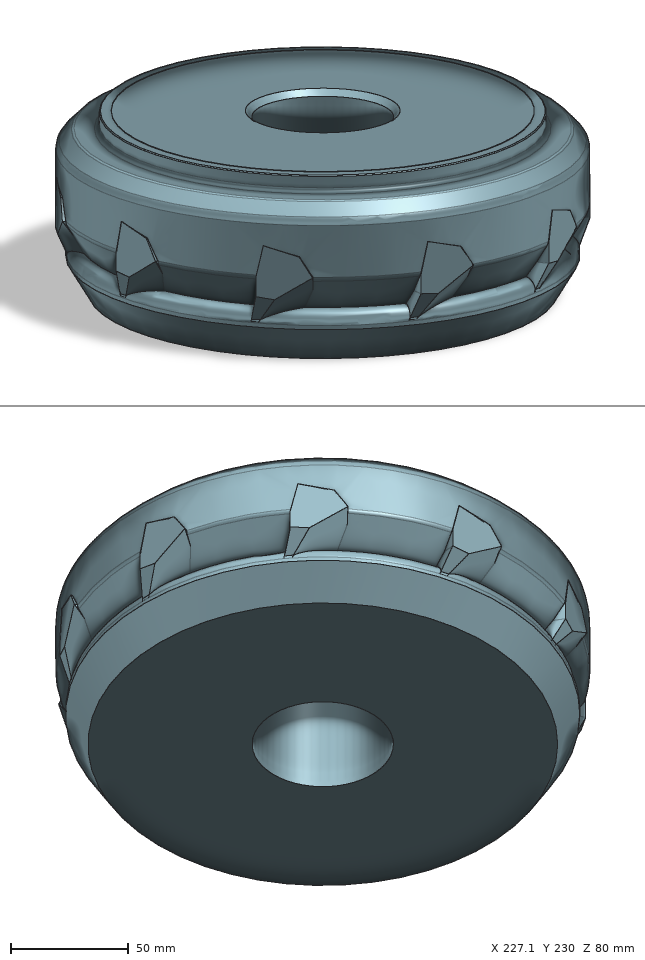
import cadquery as cq
import math

total_height = 80.0

head_dia = 227.1
head_bottom_z = 18.0
head_bore_dia = 60.3
bore_mouth_chamfer = 2.8
shoulder_z = 72.3
shoulder_chamfer = 7.1
shoulder_inner_round = 1.5
shoulder_outer_round = 4.8
boss_dia = 190.0
boss_foot_round = 2.0
boss_rim_chamfer = 0.5
raised_face_dia = 180.0
raised_face_height = 0.2
cone_top_z = 39.1
cone_half_angle = 31.0
cone_edge_round = 3.7

tooth_count = 10
tooth_root_radius = 92.0
tooth_outer_radius = 124.3
face_top = (-19.3, 53.5)
face_shoulder = (-4.0, 49.2)
face_tip = (1.8, 40.3)
face_low_right = (-14.5, 29.7)
face_low_left = (-22.5, 30.5)
face_left_mid = (-22.5, 39.1)
face_radius_at_tip = 115.0
face_slope = 0.14
flank_foot = (-0.7, -104.5, 24.6)
front_foot = (-24.9, -106.0, 18.5)

base_bottom_dia = 199.7
base_bore_dia = 60.0
base_dia = 218.5
base_cone_height = 15.6
base_round = 7.0
base_rim_z = 24.5
hub_dia = 100.0
hub_top_z = 55.2

cutter_size = 460.2
match_tolerance = 0.12


def bore(diameter):
    return cq.Workplane("XY").circle(diameter / 2).extrude(total_height)


def face_point(spot):
    """Place an (x, z) spot on the sloping outer face of the tooth."""
    x, z = spot
    y = -(face_radius_at_tip + face_slope * (x - face_tip[0]))
    return cq.Vector(x, y, z)


def cut_outside(body, first, second, third):
    """Cut away what lies beyond a plane, on its side away from the axis."""
    normal = (second - first).cross(third - first).normalized()
    if normal.y > 0:
        normal = normal * -1
    plane = cq.Plane(origin=first.toTuple(), normal=normal.toTuple())
    return body.cut(cq.Workplane(plane).rect(cutter_size, cutter_size).extrude(cutter_size))


def make_tooth():
    """One tooth pointing along -Y, with its root buried in the head."""
    outline = [
        face_top,
        face_shoulder,
        face_tip,
        (face_tip[0], head_bottom_z),
        (front_foot[0], head_bottom_z),
        face_low_left,
        face_left_mid,
    ]
    tooth = (
        cq.Workplane("XZ", origin=(0, -tooth_root_radius, 0))
        .polyline(outline)
        .close()
        .extrude(tooth_outer_radius - tooth_root_radius)
    )
    tip = face_point(face_tip)
    low_right = face_point(face_low_right)
    low_left = face_point(face_low_left)
    tooth = cut_outside(tooth, face_point(face_top), tip, low_right)
    tooth = cut_outside(tooth, tip, low_right, cq.Vector(*flank_foot))
    return cut_outside(tooth, low_right, low_left, cq.Vector(*front_foot))


def make_head_blank():
    """Round body of the head, before teeth and bore."""
    head_radius = head_dia / 2
    boss_radius = boss_dia / 2
    face_z = total_height - raised_face_height
    cone_drop = cone_top_z - head_bottom_z
    bottom_radius = head_radius - cone_drop * math.tan(math.radians(cone_half_angle))
    profile = [
        (0, head_bottom_z),
        (bottom_radius, head_bottom_z),
        (head_radius, cone_top_z),
        (head_radius, shoulder_z - shoulder_chamfer),
        (head_radius - shoulder_chamfer, shoulder_z),
        (boss_radius, shoulder_z),
        (boss_radius, face_z - boss_rim_chamfer),
        (boss_radius - boss_rim_chamfer, face_z),
        (raised_face_dia / 2, face_z),
        (raised_face_dia / 2, total_height),
        (0, total_height),
    ]
    blank = cq.Workplane("XZ").polyline(profile).close().revolve(360, (0, 0), (0, 1))

    def rounded(body, radius, z, round_radius):
        rings = [
            edge
            for edge in body.edges("%CIRCLE").vals()
            if abs(edge.radius() - radius) < match_tolerance
            and abs(edge.Center().z - z) < match_tolerance
        ]
        return body.newObject(rings).fillet(round_radius)

    blank = rounded(blank, head_radius, cone_top_z, cone_edge_round)
    blank = rounded(blank, head_radius, shoulder_z - shoulder_chamfer, shoulder_outer_round)
    blank = rounded(blank, head_radius - shoulder_chamfer, shoulder_z, shoulder_inner_round)
    return rounded(blank, boss_radius, shoulder_z, boss_foot_round)


def make_bore_mouth():
    """Conical cutter that chamfers the top end of the bore."""
    bore_radius = head_bore_dia / 2
    mouth_bottom_z = total_height - bore_mouth_chamfer
    return (
        cq.Workplane("XY", origin=(0, 0, mouth_bottom_z))
        .circle(bore_radius)
        .workplane(offset=bore_mouth_chamfer)
        .circle(bore_radius + bore_mouth_chamfer)
        .loft()
    )


def make_head():
    head = make_head_blank()
    tooth = make_tooth()
    for index in range(tooth_count):
        angle = index * 360 / tooth_count
        head = head.union(tooth.rotate((0, 0, 0), (0, 0, 1), angle))
    hub_socket = cq.Workplane("XY").circle(hub_dia / 2).extrude(hub_top_z)
    return head.cut(hub_socket).cut(bore(head_bore_dia)).cut(make_bore_mouth()).solids()


def make_base(head):
    """Base ring and hub, recessed where the head and its teeth sit."""
    base_radius = base_dia / 2
    profile = (
        cq.Workplane("XZ")
        .moveTo(0, 0)
        .lineTo(base_bottom_dia / 2, 0)
        .lineTo(base_radius, base_cone_height)
        .lineTo(base_radius, base_rim_z - base_round)
        .radiusArc((base_radius - base_round, base_rim_z), -base_round)
        .lineTo(hub_dia / 2, base_rim_z)
        .lineTo(hub_dia / 2, hub_top_z)
        .lineTo(0, hub_top_z)
        .close()
    )
    return profile.revolve(360, (0, 0), (0, 1)).cut(bore(base_bore_dia)).cut(head).solids()


head = make_head()
base = make_base(head)
result = cq.Compound.makeCompound([head.val(), base.val()])